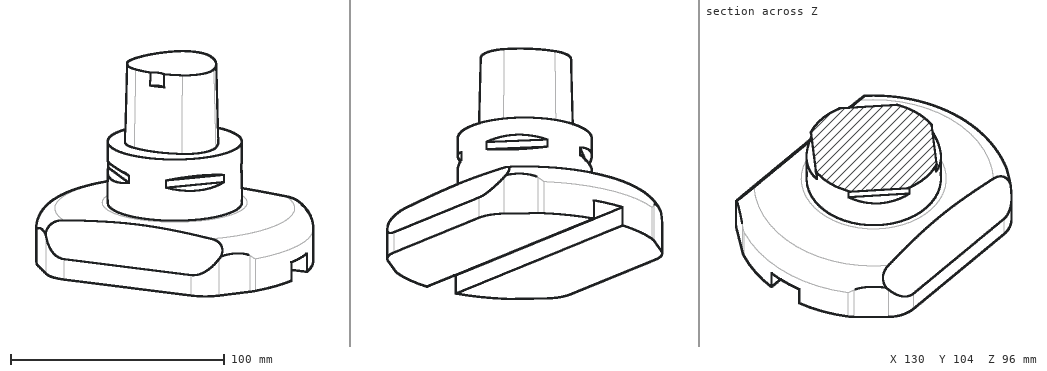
import cadquery as cq
import math

flange_radius = 65.0
flange_half_depth = 52.0
rim_height = 15.6
rim_fillet = 10.0
top_cone_angle = 7.0
flange_top_radius = 34.0

corner_flat_angle = 50.0
corner_flat_distance = 64.15
corner_blend_radius = 15.5

slope_start_height = 10.0
slope_angle = 55.0

slot_width = 17.0
slot_height = 9.0

collar_radius = 31.5
collar_top = 58.0
groove_count = 4
groove_floor_distance = 28.0
groove_floor_width = 3.5
groove_flank_angle = 28.0
groove_height = 46.0

shank_length = 38.0
shank_taper_angle = 1.43
lobe_count = 3
lobe_reach = 23.4
side_reach = 20.4
side_radius = 37.0

notch_radius = 5.75
notch_height = 6.3
notch_centre_y = -23.85

overall_height = collar_top + shank_length


def polar(radius, angle):
    """Point at the given radius and angle in degrees."""
    return radius * math.cos(math.radians(angle)), radius * math.sin(math.radians(angle))


def make_turned_flange():
    """Turned disc with a rounded rim and a shallow cone on top."""
    fillet_centre = (flange_radius - rim_fillet, rim_height)

    def on_fillet(angle):
        dx, dz = polar(rim_fillet, angle)
        return fillet_centre[0] + dx, fillet_centre[1] + dz

    fillet_end_angle = 90.0 - top_cone_angle
    fillet_end = on_fillet(fillet_end_angle)
    cone_rise = (fillet_end[0] - flange_top_radius) * math.tan(math.radians(top_cone_angle))
    flange_top = fillet_end[1] + cone_rise
    return (
        cq.Workplane("XZ")
        .lineTo(flange_radius, 0)
        .lineTo(flange_radius, rim_height)
        .threePointArc(on_fillet(fillet_end_angle / 2), fillet_end)
        .lineTo(flange_top_radius, flange_top)
        .lineTo(0, flange_top)
        .close()
        .revolve(360, (0, 0, 0), (0, 1, 0))
    )


def make_outline_prism():
    """Upright prism with the flange outline, blended at every corner."""
    angle = math.radians(corner_flat_angle)
    side_x = (corner_flat_distance - flange_half_depth * math.cos(angle)) / math.sin(angle)
    half_chord = math.sqrt(flange_radius**2 - corner_flat_distance**2)
    end_x = corner_flat_distance * math.sin(angle) + half_chord * math.cos(angle)
    end_y = corner_flat_distance * math.cos(angle) - half_chord * math.sin(angle)
    return (
        cq.Workplane("XY")
        .moveTo(side_x, flange_half_depth)
        .lineTo(end_x, end_y)
        .threePointArc((flange_radius, 0), (end_x, -end_y))
        .lineTo(side_x, -flange_half_depth)
        .lineTo(-side_x, -flange_half_depth)
        .lineTo(-end_x, -end_y)
        .threePointArc((-flange_radius, 0), (-end_x, end_y))
        .lineTo(-side_x, flange_half_depth)
        .close()
        .extrude(collar_top)
        .edges("|Z")
        .fillet(corner_blend_radius)
    )


def make_slope_limit():
    """Long prism along X whose roof faces form the two sloping sides."""
    ridge_height = slope_start_height + flange_half_depth * math.tan(math.radians(slope_angle))
    return (
        cq.Workplane("YZ")
        .moveTo(-flange_half_depth, 0)
        .lineTo(flange_half_depth, 0)
        .lineTo(flange_half_depth, slope_start_height)
        .lineTo(0, ridge_height)
        .lineTo(-flange_half_depth, slope_start_height)
        .close()
        .extrude(flange_radius, both=True)
    )


def make_slot():
    """Straight slot along X, open at the bottom."""
    return cq.Workplane("XY").box(
        2 * flange_radius, slot_width, slot_height, centered=(True, True, False)
    )


def make_collar():
    """Round collar with flat-floored clamping grooves."""
    collar = cq.Workplane("XY").circle(collar_radius).extrude(collar_top)
    groove_depth = collar_radius - groove_floor_distance
    flare = groove_depth * math.tan(math.radians(groove_flank_angle))
    half_floor = groove_floor_width / 2
    groove = (
        cq.Workplane("XZ")
        .moveTo(groove_floor_distance, groove_height - half_floor)
        .lineTo(collar_radius, groove_height - half_floor - flare)
        .lineTo(collar_radius, groove_height + half_floor + flare)
        .lineTo(groove_floor_distance, groove_height + half_floor)
        .close()
        .extrude(collar_radius, both=True)
    )
    spacing = 360 / groove_count
    for index in range(groove_count):
        collar = collar.cut(groove.rotate((0, 0, 0), (0, 0, 1), spacing * (index + 0.5)))
    return collar


def make_shank():
    """Tapered shank: three wide side arcs joined tangentially by three lobe arcs."""
    side_offset = side_radius - side_reach
    lobe_radius = (side_radius**2 - lobe_reach**2 - side_offset**2 - lobe_reach * side_offset) / (
        2 * side_radius - 2 * lobe_reach - side_offset
    )
    lobe_offset = lobe_reach - lobe_radius
    centre_distance = side_radius - lobe_radius
    half_pitch = 180 / lobe_count
    side_half_angle = math.asin(lobe_offset * math.sin(math.radians(half_pitch)) / centre_distance)
    joint_x = side_radius * math.sin(side_half_angle)
    joint_y = side_offset - side_radius * math.cos(side_half_angle)
    joint_radius = math.hypot(joint_x, joint_y)
    joint_angle = math.degrees(math.atan2(joint_x, -joint_y))

    profile = cq.Workplane("XY", origin=(0, 0, collar_top)).moveTo(-joint_x, joint_y)
    for index in range(lobe_count):
        side_direction = -90 + 2 * half_pitch * index
        profile = profile.threePointArc(
            polar(side_reach, side_direction),
            polar(joint_radius, side_direction + joint_angle),
        ).threePointArc(
            polar(lobe_reach, side_direction + half_pitch),
            polar(joint_radius, side_direction + 2 * half_pitch - joint_angle),
        )
    return profile.close().extrude(shank_length, taper=shank_taper_angle)


def make_notch():
    """Round-backed notch at the free end of the shank."""
    return (
        cq.Workplane("XY", origin=(0, notch_centre_y, overall_height - notch_height))
        .circle(notch_radius)
        .extrude(notch_height)
    )


flange = make_turned_flange().intersect(make_outline_prism()).intersect(make_slope_limit())
shank = make_shank().cut(make_notch())
result = flange.union(make_collar()).union(shank).cut(make_slot())